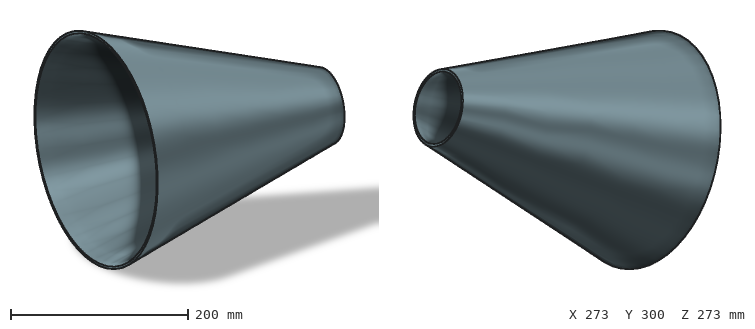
import cadquery as cq

length = 300.0
wide_diameter = 273.0
narrow_diameter = 88.8
wall = 3.0


def cone(wide_radius, narrow_radius):
    """Solid truncated cone along +Y, spanning the full length."""
    return cq.Workplane(
        obj=cq.Solid.makeCone(
            wide_radius, narrow_radius, length, cq.Vector(0, 0, 0), cq.Vector(0, 1, 0)
        )
    )


outer = cone(wide_diameter / 2, narrow_diameter / 2)
bore = cone(wide_diameter / 2 - wall, narrow_diameter / 2 - wall)
result = outer.cut(bore)